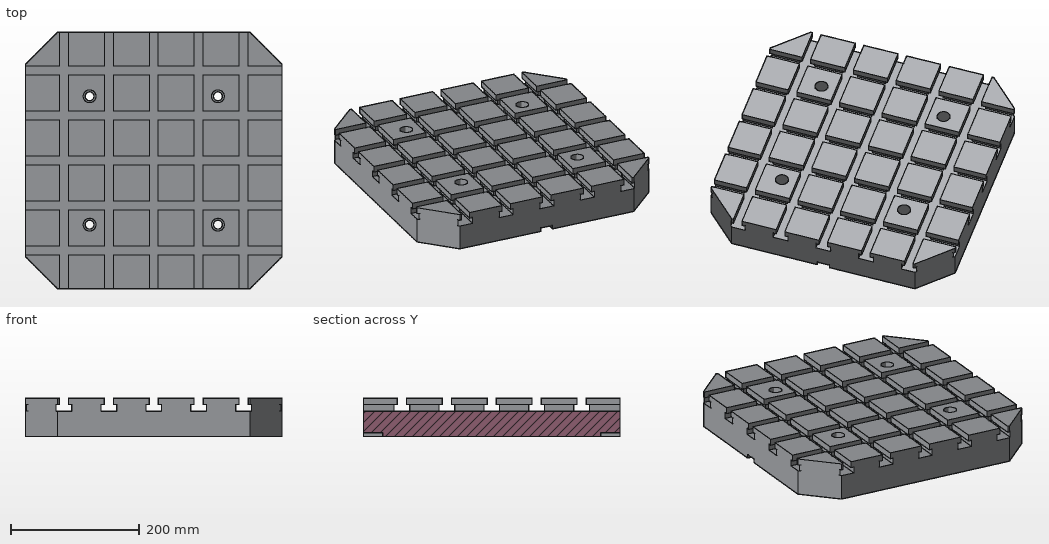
import cadquery as cq

plate_side = 400.0
plate_height = 60.0
corner_chamfer = 50.0

slot_count = 5
slot_pitch = 70.0
neck_width = 14.0
head_width = 24.0
neck_depth = 10.0
slot_depth = 20.0

hole_spacing = 200.0
hole_diameter = 13.5
counterbore_diameter = 20.0
counterbore_depth = 30.0

key_width = 20.0
key_height = 6.0
key_length = 30.0


def make_plate():
    return (
        cq.Workplane("XY")
        .rect(plate_side, plate_side)
        .extrude(plate_height)
        .edges("|Z")
        .chamfer(corner_chamfer)
    )


def make_t_slot(offset):
    """T-slot cutter running the full plate along X, centred at Y = offset."""
    head_height = slot_depth - neck_depth
    head_floor = plate_height - slot_depth
    neck = cq.Workplane("XY").box(plate_side, neck_width, slot_depth, centered=(True, True, False))
    head = cq.Workplane("XY").box(plate_side, head_width, head_height, centered=(True, True, False))
    return neck.union(head).translate((0, offset, head_floor))


def cut_t_slots(body):
    for index in range(slot_count):
        offset = (index - (slot_count - 1) / 2) * slot_pitch
        slot_along_x = make_t_slot(offset)
        slot_along_y = slot_along_x.rotate((0, 0, 0), (0, 0, 1), 90)
        body = body.cut(slot_along_x).cut(slot_along_y)
    return body


def cut_mounting_holes(body):
    return (
        body.copyWorkplane(cq.Workplane("XY", origin=(0, 0, plate_height)))
        .rect(hole_spacing, hole_spacing, forConstruction=True)
        .vertices()
        .cboreHole(hole_diameter, counterbore_diameter, counterbore_depth)
    )


def cut_key_slots(body):
    center_x = (plate_side - key_length) / 2
    key_slot = cq.Workplane("XY").box(key_length, key_width, key_height, centered=(True, True, False))
    for side in (-1, 1):
        body = body.cut(key_slot.translate((side * center_x, 0, 0)))
    return body


plate = make_plate()
plate = cut_t_slots(plate)
plate = cut_mounting_holes(plate)
result = cut_key_slots(plate)